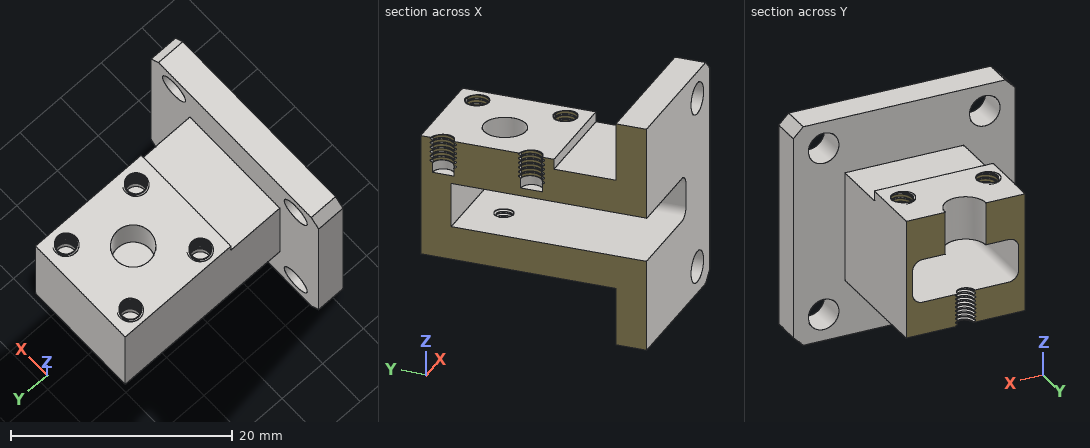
import cadquery as cq
import math

FLANGE_SIDE = 22.4
FLANGE_THICKNESS = 3.0
FLANGE_CHAMFER = 1.0
FLANGE_HOLE_DIAMETER = 3.07
FLANGE_HOLE_PITCH_X = 16.26
FLANGE_HOLE_PITCH_Z = 17.02

OVERALL_LENGTH = 22.0
BLOCK_WIDTH = 12.0
BLOCK_HALF_HEIGHT = 5.5
PAD_LENGTH = 13.0
PAD_RISE = 1.0
PAD_TOP = BLOCK_HALF_HEIGHT + PAD_RISE
PAD_CENTRE_Y = OVERALL_LENGTH - PAD_LENGTH / 2

WAVEGUIDE_WIDTH = 10.67
WAVEGUIDE_HEIGHT = 4.32
WAVEGUIDE_CORNER_RADIUS = 1.0
WAVEGUIDE_END_WALL = 3.0
WAVEGUIDE_LENGTH = OVERALL_LENGTH - WAVEGUIDE_END_WALL
WAVEGUIDE_FLOOR = -WAVEGUIDE_HEIGHT / 2

PROBE_BORE_DIAMETER = 4.1

TUNING_MINOR_DIAMETER = 1.62
TUNING_MAJOR_DIAMETER = 2.0
TUNING_PITCH = 0.4
TUNING_START_ANGLE = 120.0

SCREW_MINOR_DIAMETER = 2.07
SCREW_MAJOR_DIAMETER = 2.5
SCREW_PITCH = 0.45
SCREW_HOLE_SPACING = 8.6
SCREW_HOLE_DEPTH = 3.5
SCREW_THREAD_LENGTH = 6 * SCREW_PITCH
SCREW_START_ANGLE = 170.0

THREAD_HALF_ANGLE = math.radians(30.0)
ROOT_FLAT_PER_PITCH = 1 / 8
THREAD_OVERLAP = 0.02


def flange():
    """Flange plate with chamfered corners and four clearance holes."""
    plate = cq.Workplane("XZ").rect(FLANGE_SIDE, FLANGE_SIDE).extrude(-FLANGE_THICKNESS)
    plate = plate.edges("|Y").chamfer(FLANGE_CHAMFER)
    holes = (
        cq.Workplane("XZ")
        .rect(FLANGE_HOLE_PITCH_X, FLANGE_HOLE_PITCH_Z, forConstruction=True)
        .vertices()
        .circle(FLANGE_HOLE_DIAMETER / 2)
        .extrude(-FLANGE_THICKNESS)
    )
    return plate.cut(holes)


def block():
    """Stepped block, drawn as a side profile and extruded across its width."""
    return (
        cq.Workplane("YZ")
        .moveTo(0, -BLOCK_HALF_HEIGHT)
        .lineTo(OVERALL_LENGTH, -BLOCK_HALF_HEIGHT)
        .lineTo(OVERALL_LENGTH, PAD_TOP)
        .lineTo(OVERALL_LENGTH - PAD_LENGTH, PAD_TOP)
        .lineTo(OVERALL_LENGTH - PAD_LENGTH, BLOCK_HALF_HEIGHT)
        .lineTo(0, BLOCK_HALF_HEIGHT)
        .close()
        .extrude(BLOCK_WIDTH / 2, both=True)
    )


def waveguide():
    """Waveguide cavity with rounded corners along its length."""
    return (
        cq.Workplane("XZ")
        .rect(WAVEGUIDE_WIDTH, WAVEGUIDE_HEIGHT)
        .extrude(-WAVEGUIDE_LENGTH)
        .edges("|Y")
        .fillet(WAVEGUIDE_CORNER_RADIUS)
    )


def bore(diameter, top, depth):
    """Vertical cylinder on the origin axis, going down from the given height."""
    return cq.Workplane("XY", origin=(0, 0, top)).circle(diameter / 2).extrude(-depth)


def thread_groove(minor, major, pitch, top, length, start_angle):
    """Right-hand flat-rooted V groove on the origin axis.

    Its root crosses the height `top` at start_angle; the groove runs from one
    pitch above `top` to at least `length` below it, in whole turns.
    """
    inner_radius = minor / 2 - THREAD_OVERLAP
    root_radius = major / 2
    root_half_width = ROOT_FLAT_PER_PITCH * pitch / 2
    mouth_half_width = root_half_width + (root_radius - inner_radius) * math.tan(THREAD_HALF_ANGLE)
    turns_below = math.ceil(length / pitch)
    helix = cq.Wire.makeHelix(pitch, (turns_below + 1) * pitch, inner_radius)
    groove = (
        cq.Workplane("XZ")
        .moveTo(inner_radius, -mouth_half_width)
        .lineTo(root_radius, -root_half_width)
        .lineTo(root_radius, root_half_width)
        .lineTo(inner_radius, mouth_half_width)
        .close()
        .sweep(cq.Workplane(helix), isFrenet=True)
    )
    bottom = top - turns_below * pitch
    return groove.rotate((0, 0, 0), (0, 0, 1), start_angle).translate((0, 0, bottom))


def cut_screw_hole(body, x, y):
    """Blind threaded hole, open at the pad; the thread stops short of the hole bottom."""
    groove = thread_groove(
        SCREW_MINOR_DIAMETER,
        SCREW_MAJOR_DIAMETER,
        SCREW_PITCH,
        PAD_TOP,
        SCREW_THREAD_LENGTH,
        SCREW_START_ANGLE,
    )
    hole = bore(SCREW_MINOR_DIAMETER, PAD_TOP, SCREW_HOLE_DEPTH)
    return cut_thread(body, groove, hole, x, y)


def cut_tuning_hole(body, x, y):
    """Threaded hole through the wall below the waveguide."""
    wall = BLOCK_HALF_HEIGHT + WAVEGUIDE_FLOOR
    groove = thread_groove(
        TUNING_MINOR_DIAMETER,
        TUNING_MAJOR_DIAMETER,
        TUNING_PITCH,
        WAVEGUIDE_FLOOR,
        wall + TUNING_PITCH,
        TUNING_START_ANGLE,
    )
    hole = bore(TUNING_MINOR_DIAMETER, WAVEGUIDE_FLOOR, wall)
    return cut_thread(body, groove, hole, x, y)


def cut_thread(body, groove, hole, x, y):
    """Cut a threaded hole at (x, y), groove before bore so that both cuts stay clean."""
    return body.cut(groove.translate((x, y, 0))).cut(hole.translate((x, y, 0)))


def screw_positions():
    """Centres of the four screw holes, square around the probe bore."""
    half_spacing = SCREW_HOLE_SPACING / 2
    return [
        (side_x * half_spacing, PAD_CENTRE_Y + side_y * half_spacing)
        for side_x in (-1, 1)
        for side_y in (-1, 1)
    ]


body = flange().union(block()).cut(waveguide())
body = body.cut(bore(PROBE_BORE_DIAMETER, PAD_TOP, PAD_TOP).translate((0, PAD_CENTRE_Y, 0)))
body = cut_tuning_hole(body, 0, PAD_CENTRE_Y)
for hole_x, hole_y in screw_positions():
    body = cut_screw_hole(body, hole_x, hole_y)

result = body